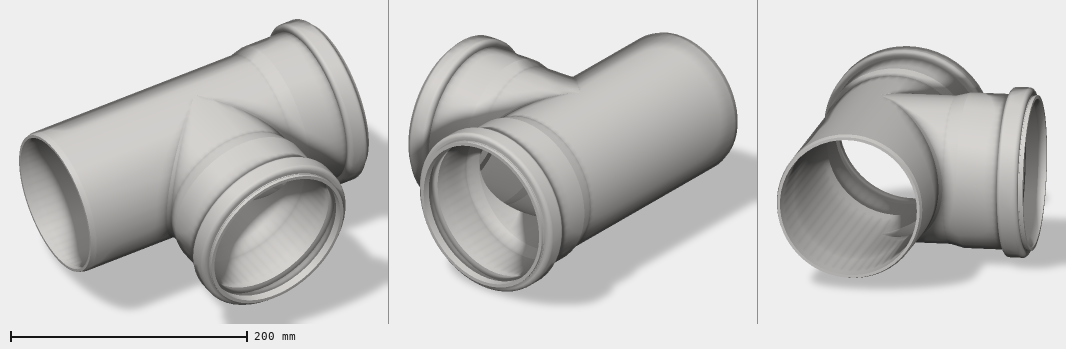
import cadquery as cq
import math

pipe_diameter = 126.0
bore_diameter = 118.5
pipe_radius = pipe_diameter / 2
bore_radius = bore_diameter / 2

overall_length = 268.5
run_socket_end = 132.6
spigot_length = overall_length - run_socket_end
spigot_bevel_length = 4.8
spigot_bevel_depth = 1.3

branch_length = 132.5
branch_tilt = 2.5

socket_radius = 132.0 / 2
socket_bore_radius = 126.2 / 2
collar_radius = 144.7 / 2
groove_radius = 138.8 / 2
collar_front = 4.0
collar_back = 21.7
collar_rounding = 3.5
groove_wall = 3.0
lip_groove_front = 2.0
lip_groove_back = 3.2
lip_groove_depth = 0.4
taper_start = 57.2
taper_end = 69.5

facet_half_angle = 1.3


def revolve_profile(points):
    """Revolve a closed radius/height outline about the Y axis."""
    return cq.Workplane("XY").polyline(points).close().revolve(360, (0, 0, 0), (0, 1, 0))


def socket_outside(start, end):
    """Pipe from start to a socket mouth at end, with its taper, lip groove and rounded collar."""
    lip_groove_floor = socket_radius - lip_groove_depth
    body = revolve_profile([
        (0, start),
        (pipe_radius, start),
        (pipe_radius, end - taper_end),
        (socket_radius, end - taper_start),
        (socket_radius, end - lip_groove_back),
        (lip_groove_floor, end - lip_groove_back),
        (lip_groove_floor, end - lip_groove_front),
        (socket_radius, end - lip_groove_front),
        (socket_radius, end),
        (0, end),
    ])
    collar = (
        cq.Workplane("XZ", origin=(0, end - collar_front, 0))
        .circle(collar_radius)
        .extrude(collar_back - collar_front)
        .edges()
        .fillet(collar_rounding)
    )
    return body.union(collar)


def socket_inside(start, end):
    """Bore from start to the mouth, with the socket recess and its seal groove."""
    groove_front = end - collar_front - groove_wall
    groove_back = end - collar_back + groove_wall
    return revolve_profile([
        (0, start),
        (bore_radius, start),
        (bore_radius, end - taper_end),
        (socket_bore_radius, end - taper_start),
        (socket_bore_radius, groove_back),
        (groove_radius, groove_back),
        (groove_radius, groove_front),
        (socket_bore_radius, groove_front),
        (socket_bore_radius, end),
        (0, end),
    ])


def turn_to_branch(solid):
    """Swing a solid from the run axis onto the branch axis."""
    return solid.rotate((0, 0, 0), (0, 0, 1), branch_tilt - 90)


def mitre_facet(half_angle, direction):
    """Elliptical web filling the corner whose half angle and bisector direction are given."""
    slope = math.tan(math.radians(facet_half_angle))
    reach = pipe_radius / math.sin(math.radians(half_angle - facet_half_angle))
    reach *= math.cos(math.radians(facet_half_angle))
    web = cq.Workplane("YZ").ellipse(reach, pipe_radius).extrude(reach * slope, both=True)
    wedge = (
        cq.Workplane("XY")
        .polyline([(0, 0), (reach * slope, reach), (-reach * slope, reach)])
        .close()
        .extrude(pipe_radius, both=True)
    )
    return web.intersect(wedge).rotate((0, 0, 0), (0, 0, 1), direction - 90)


bevel = revolve_profile([
    (0, -spigot_length),
    (pipe_radius - spigot_bevel_depth, -spigot_length),
    (pipe_radius, spigot_bevel_length - spigot_length),
    (0, spigot_bevel_length - spigot_length),
])
run = socket_outside(spigot_bevel_length - spigot_length, run_socket_end).union(bevel)
branch = turn_to_branch(socket_outside(0, branch_length))

upper_half_angle = (90 - branch_tilt) / 2
lower_half_angle = (90 + branch_tilt) / 2
upper_facet = mitre_facet(upper_half_angle, branch_tilt + upper_half_angle)
lower_facet = mitre_facet(lower_half_angle, branch_tilt - lower_half_angle)

run_bore = socket_inside(-spigot_length, run_socket_end)
branch_bore = turn_to_branch(socket_inside(0, branch_length))

result = run.union(branch).union(upper_facet).union(lower_facet).cut(run_bore).cut(branch_bore)